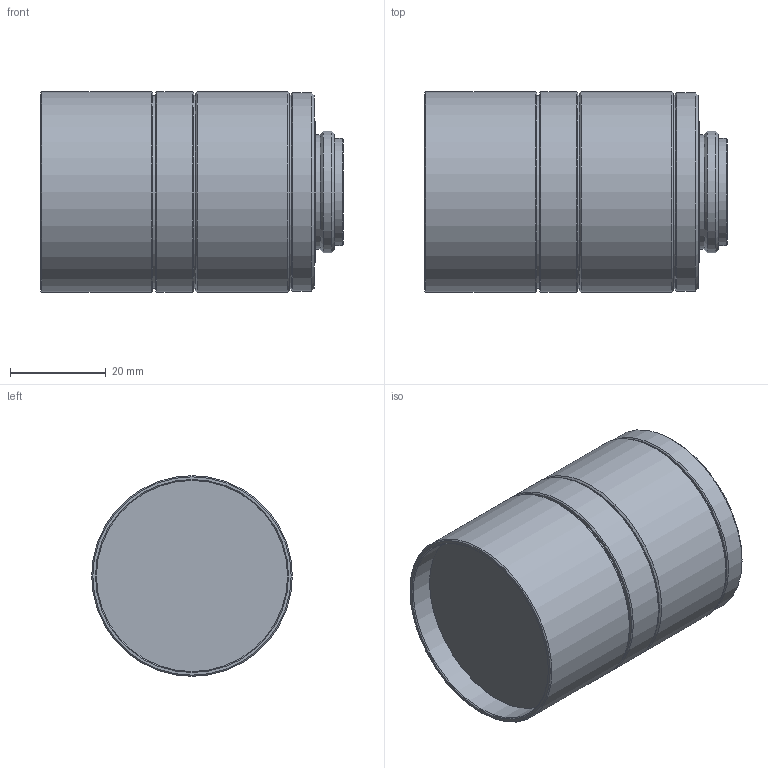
import cadquery as cq

total_length = 63.4

no_chamfer = (0, 0)
edge_chamfer = (0.25, 0.25)
rear_ring_chamfer = (0.35, 0.35)

barrel_radius = 21.0
groove_floor_radius = 20.2
front_ring_end = 23.45
middle_ring_start = 24.1
middle_ring_end = 32.05
rear_ring_start = 32.4
rear_ring_end = 52.1

front_recess_radius = 20.0
front_recess_depth = 5.0
front_recess_chamfer = 0.2

collar_start = 52.5
collar_radius = 20.8
collar_end = 57.3
collar_rear_chamfer = (0.6, 0.6)

flange_radius = 14.8
flange_end = 57.5
neck_radius = 12.0
thread_radius = 12.7
thread_start = 58.5
thread_end = 61.5
thread_front_chamfer = (thread_radius - neck_radius, thread_radius - neck_radius)
thread_rear_chamfer = (0.6, 0.6)
spigot_radius = 11.2
spigot_chamfer = (0.25, 0.25)


def disc(start, end, radius, front_chamfer=no_chamfer, rear_chamfer=no_chamfer):
    """Solid disc around the X axis, with optional chamfers on its two rims."""
    front_length, front_drop = front_chamfer
    rear_length, rear_drop = rear_chamfer
    profile = cq.Workplane("XY").moveTo(start, 0).lineTo(start, radius - front_drop)
    if front_length:
        profile = profile.lineTo(start + front_length, radius)
    profile = profile.lineTo(end - rear_length, radius)
    if rear_length:
        profile = profile.lineTo(end, radius - rear_drop)
    return profile.lineTo(end, 0).close().revolve(360, (0, 0, 0), (1, 0, 0))


def make_barrel():
    """Core at groove-floor radius carrying three chamfered rings and the collar."""
    core = disc(0, collar_start, groove_floor_radius)
    front_ring = disc(0, front_ring_end, barrel_radius, edge_chamfer, edge_chamfer)
    middle_ring = disc(middle_ring_start, middle_ring_end, barrel_radius, edge_chamfer, edge_chamfer)
    rear_ring = disc(rear_ring_start, rear_ring_end, barrel_radius, rear_ring_chamfer, rear_ring_chamfer)
    collar = disc(collar_start, collar_end, collar_radius, edge_chamfer, collar_rear_chamfer)
    return core.union(front_ring).union(middle_ring).union(rear_ring).union(collar)


def make_mount():
    """Flange, neck, chamfered thread ring and rear spigot."""
    flange = disc(collar_end, flange_end, flange_radius)
    neck = disc(flange_end, thread_start, neck_radius)
    thread = disc(thread_start, thread_end, thread_radius, thread_front_chamfer, thread_rear_chamfer)
    spigot = disc(thread_end, total_length, spigot_radius, rear_chamfer=spigot_chamfer)
    return flange.union(neck).union(thread).union(spigot)


def cut_front_recess(body):
    """Round blind recess in the front face, with a chamfered mouth."""
    recessed = body.cut(disc(0, front_recess_depth, front_recess_radius))
    mouth_edge = recessed.faces("<X").edges(cq.selectors.RadiusNthSelector(0))
    return mouth_edge.chamfer(front_recess_chamfer)


result = cut_front_recess(make_barrel().union(make_mount()))